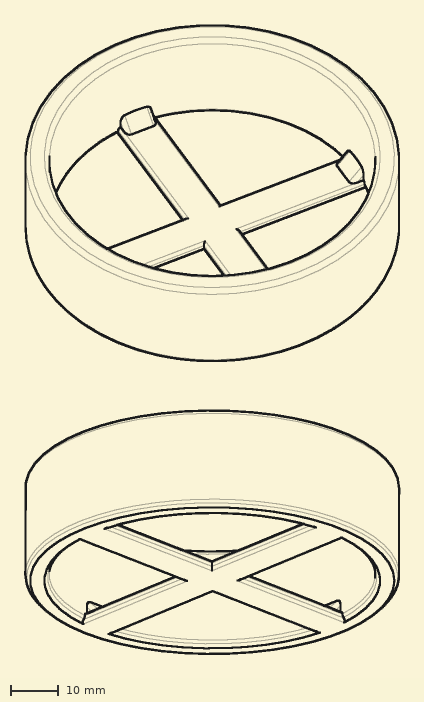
import cadquery as cq

outer_diameter = 78.0
bore_diameter = 68.0
ring_height = 22.0
rim_round = 1.0
base_chamfer = 1.0
base_round = 1.0

spoke_width = 8.5
spoke_thickness = 2.0
spoke_edge_round = 0.6

brace_width = spoke_width - 2 * spoke_edge_round
brace_run = 3.1
brace_edge_round = 1.0
brace_embed = 1.0

outer_radius = outer_diameter / 2
bore_radius = bore_diameter / 2
wall_middle_radius = (outer_radius + bore_radius) / 2


def make_ring():
    """Tube with rounded top edges and softened chamfers around its base."""
    tube = cq.Workplane("XY").circle(outer_radius).circle(bore_radius).extrude(ring_height)
    tube = tube.faces(">Z").edges().fillet(rim_round)
    tube = tube.faces("<Z").edges().chamfer(base_chamfer)
    chamfer_top = cq.selectors.BoxSelector(
        (-outer_radius, -outer_radius, base_chamfer / 2),
        (outer_radius, outer_radius, 3 * base_chamfer / 2),
    )
    return tube.edges("%CIRCLE").edges(chamfer_top).fillet(base_round)


def make_spokes():
    """Plus-shaped plate with rounded upper and lower edges, ending inside the ring wall."""
    spoke_length = 2 * wall_middle_radius
    along_x = cq.Workplane("XY").box(
        spoke_length, spoke_width, spoke_thickness, centered=(True, True, False)
    )
    along_y = along_x.rotate((0, 0, 0), (0, 0, 1), 90)
    return along_x.union(along_y).faces("<Z or >Z").edges().fillet(spoke_edge_round)


def make_brace():
    """Sloped wedge at the +X end, with rounded edges along its slope."""
    toe_radius = bore_radius - brace_run
    back_radius = bore_radius + brace_embed
    root_radius = toe_radius - spoke_thickness
    brace_top = back_radius - root_radius
    wedge = (
        cq.Workplane("XZ")
        .moveTo(root_radius, 0)
        .lineTo(back_radius, 0)
        .lineTo(back_radius, brace_top)
        .close()
        .extrude(brace_width / 2, both=True)
    )
    wedge = wedge.edges("not(|X or |Y or |Z)").fillet(brace_edge_round)
    above_spoke = cq.Workplane("XY").box(
        outer_diameter, brace_width, ring_height, centered=(True, True, False)
    )
    return wedge.intersect(above_spoke.translate((0, 0, spoke_thickness / 2)))


result = make_ring().union(make_spokes())
for angle in range(0, 360, 90):
    result = result.union(make_brace().rotate((0, 0, 0), (0, 0, 1), angle))